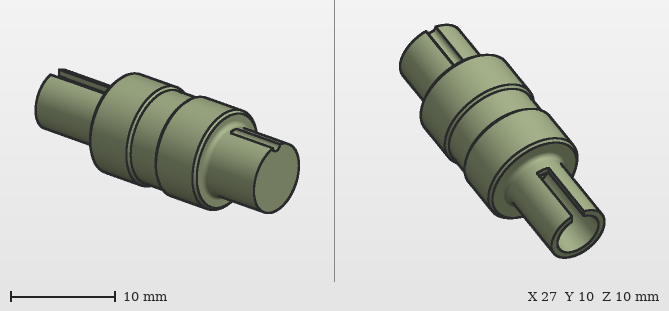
import cadquery as cq
import math

length = 27.0
body_diameter = 10.0
body_start = 8.0
body_end = 21.0
left_diameter = 5.95
right_diameter = 6.95
shoulder_fillet = (right_diameter - left_diameter) / 2

edge_chamfer = 0.3
neck_diameter = body_diameter - 2 * edge_chamfer
neck_start = 12.95
neck_end = 15.98

bore_diameter = 4.6
bore_depth = 9.0
drill_point_angle = 118.0

slot_width = 1.3
slot_length = 6.48

keyway_radius = 0.55
keyway_length = 5.26
keyway_end_fillet = 0.25

body_radius = body_diameter / 2
left_radius = left_diameter / 2
right_radius = right_diameter / 2
neck_radius = neck_diameter / 2
bore_radius = bore_diameter / 2


def revolve_about_x(profile):
    return profile.close().revolve(360, (0, 0, 0), (1, 0, 0))


def make_shaft():
    arc_inset = shoulder_fillet * (1 - math.sqrt(0.5))
    profile = (
        cq.Workplane("XZ")
        .lineTo(0, left_radius)
        .lineTo(body_start - shoulder_fillet, left_radius)
        .threePointArc(
            (body_start - arc_inset, left_radius + arc_inset),
            (body_start, left_radius + shoulder_fillet),
        )
        .lineTo(body_start, body_radius - edge_chamfer)
        .lineTo(body_start + edge_chamfer, body_radius)
        .lineTo(neck_start - edge_chamfer, body_radius)
        .lineTo(neck_start, neck_radius)
        .lineTo(neck_end, neck_radius)
        .lineTo(neck_end + edge_chamfer, body_radius)
        .lineTo(body_end - edge_chamfer, body_radius)
        .lineTo(body_end, body_radius - edge_chamfer)
        .lineTo(body_end, right_radius + shoulder_fillet)
        .threePointArc(
            (body_end + arc_inset, right_radius + arc_inset),
            (body_end + shoulder_fillet, right_radius),
        )
        .lineTo(length, right_radius)
        .lineTo(length, 0)
    )
    return revolve_about_x(profile)


def make_bore():
    point_depth = bore_radius / math.tan(math.radians(drill_point_angle / 2))
    profile = (
        cq.Workplane("XZ")
        .lineTo(0, bore_radius)
        .lineTo(bore_depth, bore_radius)
        .lineTo(bore_depth + point_depth, 0)
    )
    return revolve_about_x(profile)


def make_slot():
    return cq.Workplane("XY").box(slot_length, slot_width, body_radius, centered=(False, True, False))


def make_keyway():
    return (
        cq.Workplane("YZ", origin=(length - keyway_length, 0, 0))
        .center(0, right_radius)
        .circle(keyway_radius)
        .extrude(keyway_length)
        .faces("<X")
        .edges()
        .fillet(keyway_end_fillet)
    )


result = make_shaft().cut(make_bore()).cut(make_slot()).cut(make_keyway())